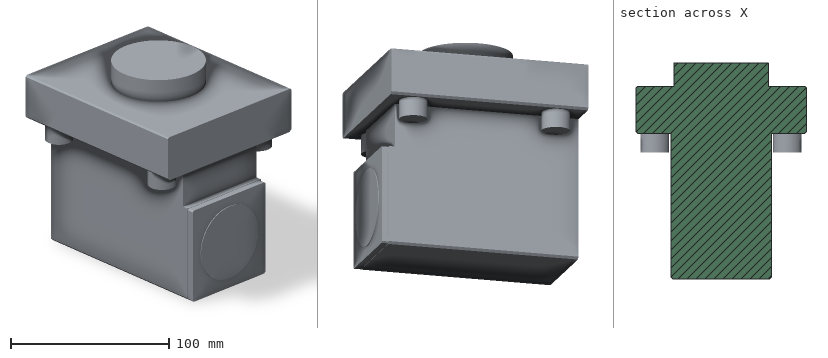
import cadquery as cq

head_length = 130.0
head_width = 108.0
head_height = 30.0
head_bottom_z = 92.0
head_top_chamfer = 1.0
head_bottom_chamfer = 1.5

boss_diameter = 60.0
boss_height = 15.0

body_width = 64.0
body_upper_length = 121.0
body_lower_length = 125.0
body_lower_height = 64.0
body_chamfer = 1.5

cover_thickness = 4.5
cover_inset = 0.25
cover_width = body_width - 2 * cover_inset
cover_height = body_lower_height - 2 * cover_inset
cover_chamfer = 1.0
disc_diameter = 50.0
disc_thickness = head_length - body_lower_length - cover_thickness

bolt_diameter = 18.0
bolt_height = 12.0
bolt_spacing_x = 94.0
bolt_spacing_y = 84.0

head_top_z = head_bottom_z + head_height
left_x = -head_length / 2
cover_x = left_x + body_lower_length
disc_x = cover_x + cover_thickness


def block(length, width, height, start_x, bottom_z):
    """Box centred on Y, starting at start_x and standing on bottom_z."""
    return cq.Workplane("XY").box(length, width, height, centered=(False, True, False)).translate(
        (start_x, 0, bottom_z)
    )


def make_head():
    plate = block(head_length, head_width, head_height, left_x, head_bottom_z)
    plate = plate.faces(">Z").edges("|X").chamfer(head_top_chamfer)
    return plate.faces("<Z").edges("|X").chamfer(head_bottom_chamfer)


def make_boss():
    return cq.Workplane("XY", origin=(0, 0, head_top_z)).circle(boss_diameter / 2).extrude(boss_height)


def make_body():
    upper = block(body_upper_length, body_width, head_bottom_z, left_x, 0)
    lower = block(body_lower_length, body_width, body_lower_height, left_x, 0)
    return upper.union(lower).faces("<Z").edges("|X").chamfer(body_chamfer)


def make_cover():
    plate = block(cover_thickness, cover_width, cover_height, cover_x, cover_inset)
    plate = plate.edges("|X").chamfer(cover_chamfer)
    disc = (
        cq.Workplane("YZ", origin=(disc_x, 0, body_lower_height / 2))
        .circle(disc_diameter / 2)
        .extrude(disc_thickness)
    )
    return plate.union(disc)


def make_bolts():
    return (
        cq.Workplane("XY", origin=(0, 0, head_bottom_z))
        .rect(bolt_spacing_x, bolt_spacing_y, forConstruction=True)
        .vertices()
        .circle(bolt_diameter / 2)
        .extrude(-bolt_height)
    )


result = make_head().union(make_boss()).union(make_body()).union(make_cover()).union(make_bolts())